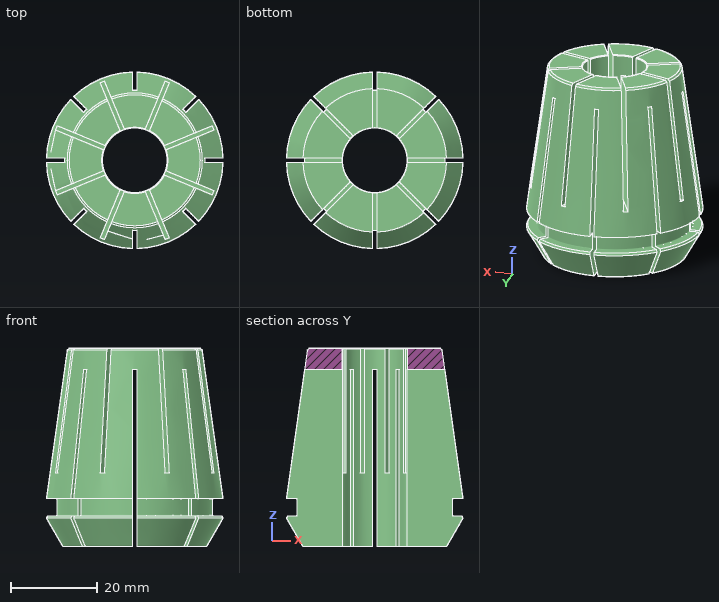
import cadquery as cq
import math

total_height = 46
groove_top = 11.1
groove_bottom = 7.15
rim_height = 6.6

max_diameter = 41.0
groove_radius = 18.1
bore_diameter = 15.0
collet_half_angle = 8
nut_half_angle = 30

top_edge_break = 0.45
rim_edge_break = 0.3
bore_edge_break = 0.2
nut_end_break = 0.15
groove_root_radius = 0.2

slit_count = 8
nut_slit_width = 0.95
nut_slit_top = 41.0
front_slit_width = 1.05
front_slit_floor = 17.0

slit_pitch = 360 / slit_count
max_radius = max_diameter / 2
nut_taper_rise = rim_height - nut_end_break
nut_end_radius = max_radius - nut_taper_rise * math.tan(math.radians(nut_half_angle))
shoulder_height = total_height - top_edge_break
cone_rise = shoulder_height - groove_top
shoulder_radius = max_radius - cone_rise * math.tan(math.radians(collet_half_angle))
bore_radius = bore_diameter / 2


def make_body():
    """Revolve the collet section: nut taper, pulling groove, long taper and bore."""
    section = (
        cq.Workplane("XZ")
        .moveTo(bore_radius, 0)
        .lineTo(nut_end_radius - nut_end_break, 0)
        .lineTo(nut_end_radius, nut_end_break)
        .lineTo(max_radius, rim_height)
        .lineTo(max_radius - rim_edge_break, groove_bottom)
        .lineTo(groove_radius + groove_root_radius, groove_bottom)
        .radiusArc((groove_radius, groove_bottom + groove_root_radius), groove_root_radius)
        .lineTo(groove_radius, groove_top - groove_root_radius)
        .radiusArc((groove_radius + groove_root_radius, groove_top), groove_root_radius)
        .lineTo(max_radius, groove_top)
        .lineTo(shoulder_radius, shoulder_height)
        .lineTo(shoulder_radius - top_edge_break, total_height)
        .lineTo(bore_radius + bore_edge_break, total_height)
        .lineTo(bore_radius, total_height - bore_edge_break)
        .close()
    )
    return section.revolve(360, (0, 0, 0), (0, 1, 0))


def cut_slits(body, first_angle, width, floor, top):
    """Cut a ring of radial slits from the bore out through the wall."""
    for index in range(slit_count):
        slit = (
            cq.Workplane("XY", origin=(0, 0, floor))
            .center(max_radius, 0)
            .rect(2 * max_radius, width)
            .extrude(top - floor)
            .rotate((0, 0, 0), (0, 0, 1), first_angle + index * slit_pitch)
        )
        body = body.cut(slit)
    return body


result = make_body()
result = cut_slits(result, 0, nut_slit_width, 0, nut_slit_top)
result = cut_slits(result, slit_pitch / 2, front_slit_width, front_slit_floor, total_height)